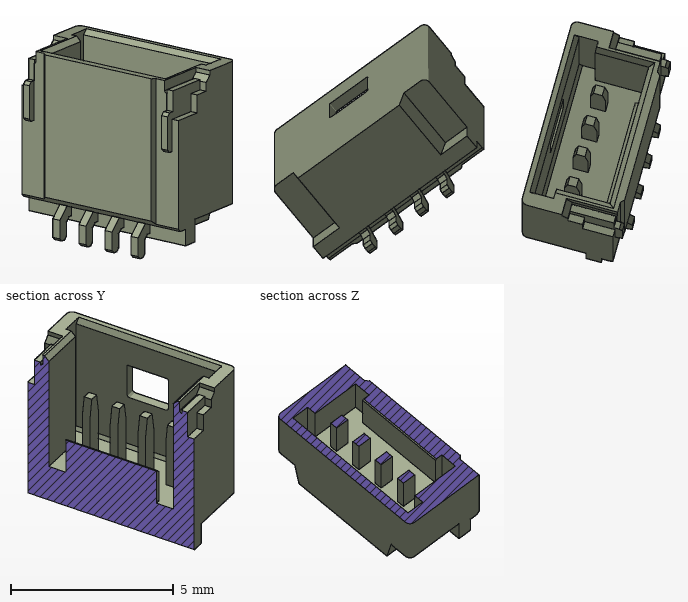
import cadquery as cq
import math


WIDTH = 6.0
HALF_WIDTH = WIDTH / 2
HOUSING_HEIGHT = 5.35
FLANK_DEPTH = 2.95
CONTACT_DEPTH = 3.19
BACK_CORNER_RADIUS = 0.2

PAD_HEIGHT = 0.11
PAD_HALF_WIDTH = 2.14

FOOT_DEPTH = 2.58
LIP_Z = -4.82
LIP_DEPTH = 2.85

RECESS_DEPTH = 2.09
RECESS_Z = -4.615
RECESS_INSET = 0.84
RECESS_TAPER = 0.25

POCKET_FLOOR_Z = -4.08
POCKET_BACK = 0.33
POCKET_FRONT = 2.645
POCKET_STEP = 0.935
POCKET_WIDE_HALF = 2.575
POCKET_NARROW_HALF = 2.23
LEAD_IN = 0.155
FLOOR_BEVEL = 0.11

RIB_HALF_WIDTH = 1.64
RIB_THICKNESS = 0.265
RIB_HEIGHT = 1.2
RIB_BEVEL = 0.1

WINDOW_WIDTH = 1.49
WINDOW_TOP_Z = -1.05
WINDOW_HEIGHT = 1.19
WINDOW_LOWER_RADIUS = 0.1
WINDOW_UPPER_RADIUS = 0.05

PIN_COUNT = 4
PIN_PITCH = WIDTH / 6
PIN_WIDTH = 0.275
POST_BACK = 1.02
POST_THICKNESS = 0.485
POST_TIP_Z = -1.92
POST_TIP_BEVEL = 0.1
POST_TIP_ANGLE = math.radians(80.5)
PIN_TOP_BEND = 2.815
PIN_LOWER_BEND = 2.705
PIN_UNDERSIDE_Z = -5.2
PIN_END_Z = -5.9
PIN_FOOT_THICKNESS = 0.35
CONTACT_BEVEL = 0.1

TAB_OUTER = 2.765
TAB_THICKNESS = 0.23
TAB_INNER = TAB_OUTER - TAB_THICKNESS
TAB_TOP_Z = -0.29
TAB_FRONT = 2.915
TAB_BACK = 1.505
TAB_UPPER_LEDGE_Z = -0.62
TAB_STEP = 1.98
TAB_LOWER_LEDGE_Z = -1.2
TAB_LEG_TOP_Z = -0.96
TAB_LEG_END_Z = -2.245
NOTCH_INNER = 2.465
NOTCH_Z = -0.335
NOTCH_BEVEL = 0.19
SEAT_BEVEL = TAB_INNER - NOTCH_INNER

CLEAR = 0.6
EMBED = 0.18


def box(x_range, y_range, z_range):
    (x0, x1), (y0, y1), (z0, z1) = x_range, y_range, z_range
    return cq.Workplane("XY").box(x1 - x0, y1 - y0, z1 - z0, centered=False).translate((x0, y0, z0))


def side_prism(points, x0, x1):
    """Prism along X from x0 to x1 over a (y, z) outline."""
    return cq.Workplane("YZ", origin=(x0, 0, 0)).polyline(points).close().extrude(x1 - x0)


def end_prism(points, y_front, y_back):
    """Prism along Y from y_front to y_back over an (x, z) outline."""
    return cq.Workplane("XZ", origin=(0, y_back, 0)).polyline(points).close().extrude(y_back - y_front)


def plan_prism(points, z0, z1):
    """Prism along Z from z0 to z1 over an (x, y) outline."""
    return cq.Workplane("XY", origin=(0, 0, z0)).polyline(points).close().extrude(z1 - z0)


def both_ends(body):
    return body.union(body.mirror("YZ"))


def housing_block():
    block = box((-HALF_WIDTH, HALF_WIDTH), (-FLANK_DEPTH, 0), (-HOUSING_HEIGHT, 0))
    block = block.edges("|Z and >Y").fillet(BACK_CORNER_RADIUS)
    pad_front = FLANK_DEPTH + PAD_HEIGHT
    pad_face_half = PAD_HALF_WIDTH - PAD_HEIGHT
    pad = plan_prism(
        [
            (-PAD_HALF_WIDTH, -FLANK_DEPTH),
            (-pad_face_half, -pad_front),
            (pad_face_half, -pad_front),
            (PAD_HALF_WIDTH, -FLANK_DEPTH),
        ],
        -HOUSING_HEIGHT,
        0,
    )
    cut_front = FLANK_DEPTH + CLEAR
    under_lip = side_prism(
        [
            (-FOOT_DEPTH, LIP_Z),
            (-LIP_DEPTH, LIP_Z),
            (-cut_front, LIP_Z + cut_front - LIP_DEPTH),
            (-cut_front, -HOUSING_HEIGHT - CLEAR),
            (-FOOT_DEPTH, -HOUSING_HEIGHT - CLEAR),
        ],
        -HALF_WIDTH,
        HALF_WIDTH,
    )
    return block.union(pad).cut(under_lip)


def rear_recesses():
    inner_top = HALF_WIDTH - RECESS_INSET
    inner_bottom = inner_top - RECESS_TAPER * (HOUSING_HEIGHT + RECESS_Z)
    recess = end_prism(
        [
            (inner_top, RECESS_Z),
            (HALF_WIDTH + CLEAR, RECESS_Z),
            (HALF_WIDTH + CLEAR, -HOUSING_HEIGHT),
            (inner_bottom, -HOUSING_HEIGHT),
        ],
        -RECESS_DEPTH,
        CLEAR,
    )
    return both_ends(recess)


def pocket():
    wide = side_prism(
        [
            (-POCKET_STEP, 0),
            (-POCKET_BACK + LEAD_IN, 0),
            (-POCKET_BACK, -LEAD_IN),
            (-POCKET_BACK, POCKET_FLOOR_Z + FLOOR_BEVEL),
            (-POCKET_BACK - FLOOR_BEVEL, POCKET_FLOOR_Z),
            (-POCKET_STEP, POCKET_FLOOR_Z),
        ],
        -POCKET_WIDE_HALF,
        POCKET_WIDE_HALF,
    )
    mouth_length = POCKET_FRONT - POCKET_STEP + LEAD_IN
    flare = (
        cq.Workplane("XY")
        .center(0, -POCKET_STEP)
        .rect(2 * (POCKET_NARROW_HALF + LEAD_IN), 2 * mouth_length)
        .extrude(-LEAD_IN, taper=45)
    )
    ahead_of_step = box((-HALF_WIDTH, HALF_WIDTH), (-FLANK_DEPTH, -POCKET_STEP), (-LEAD_IN, 0))
    flare = flare.intersect(ahead_of_step)
    narrow = box(
        (-POCKET_NARROW_HALF, POCKET_NARROW_HALF),
        (-POCKET_FRONT, -POCKET_STEP),
        (POCKET_FLOOR_Z, 0),
    )
    return wide.union(narrow).union(flare)


def front_rib():
    top_z = POCKET_FLOOR_Z + RIB_HEIGHT
    rib_back = POCKET_FRONT - RIB_THICKNESS
    return side_prism(
        [
            (-POCKET_FRONT, POCKET_FLOOR_Z),
            (-POCKET_FRONT, top_z),
            (-rib_back - RIB_BEVEL, top_z),
            (-rib_back, top_z - RIB_BEVEL),
            (-rib_back, POCKET_FLOOR_Z),
        ],
        -RIB_HALF_WIDTH,
        RIB_HALF_WIDTH,
    )


def latch_window():
    window = box(
        (-WINDOW_WIDTH / 2, WINDOW_WIDTH / 2),
        (-POCKET_STEP, CLEAR),
        (WINDOW_TOP_Z - WINDOW_HEIGHT, WINDOW_TOP_Z),
    )
    window = window.edges("|Y and <Z").fillet(WINDOW_LOWER_RADIUS)
    return window.edges("|Y and >Z").fillet(WINDOW_UPPER_RADIUS)


def pin(x_center):
    x0 = x_center - PIN_WIDTH / 2
    x1 = x_center + PIN_WIDTH / 2
    post_front = POST_BACK + POST_THICKNESS
    shoulder_z = POST_TIP_Z - POST_TIP_BEVEL * math.tan(POST_TIP_ANGLE)
    post = side_prism(
        [
            (-POST_BACK, POCKET_FLOOR_Z - EMBED),
            (-POST_BACK, shoulder_z),
            (-POST_BACK - POST_TIP_BEVEL, POST_TIP_Z),
            (-post_front + POST_TIP_BEVEL, POST_TIP_Z),
            (-post_front, shoulder_z),
            (-post_front, POCKET_FLOOR_Z - EMBED),
        ],
        x0,
        x1,
    )
    heel_depth = CONTACT_DEPTH - PIN_FOOT_THICKNESS
    foot = side_prism(
        [
            (-FOOT_DEPTH + EMBED, LIP_Z),
            (-PIN_TOP_BEND, LIP_Z),
            (-CONTACT_DEPTH, LIP_Z - CONTACT_DEPTH + PIN_TOP_BEND),
            (-CONTACT_DEPTH, PIN_END_Z + CONTACT_BEVEL),
            (-CONTACT_DEPTH + CONTACT_BEVEL, PIN_END_Z),
            (-heel_depth - CONTACT_BEVEL, PIN_END_Z),
            (-heel_depth, PIN_END_Z + CONTACT_BEVEL),
            (-heel_depth, PIN_UNDERSIDE_Z - heel_depth + PIN_LOWER_BEND),
            (-PIN_LOWER_BEND, PIN_UNDERSIDE_Z),
            (-FOOT_DEPTH + EMBED, PIN_UNDERSIDE_Z),
        ],
        x0,
        x1,
    )
    return post.union(foot)


def tab_notches():
    """Open the housing's upper front corners and step them down around the tabs."""
    front = FLANK_DEPTH + CLEAR
    outside = HALF_WIDTH + CLEAR
    notch = side_prism(
        [
            (-TAB_BACK + NOTCH_BEVEL, 0),
            (-TAB_BACK + NOTCH_BEVEL, NOTCH_Z + NOTCH_BEVEL),
            (-TAB_BACK, NOTCH_Z),
            (-front, NOTCH_Z),
            (-front, 0),
        ],
        NOTCH_INNER,
        outside,
    )
    seat = side_prism(
        [
            (-TAB_BACK, NOTCH_Z),
            (-TAB_BACK, TAB_UPPER_LEDGE_Z),
            (-TAB_STEP, TAB_UPPER_LEDGE_Z),
            (-TAB_STEP, TAB_LOWER_LEDGE_Z),
            (-front, TAB_LOWER_LEDGE_Z),
            (-front, NOTCH_Z),
        ],
        TAB_INNER,
        outside,
    )
    seat_bevel = end_prism(
        [(NOTCH_INNER, NOTCH_Z), (TAB_INNER, NOTCH_Z), (TAB_INNER, NOTCH_Z - SEAT_BEVEL)],
        -front,
        -TAB_BACK,
    )
    return both_ends(notch.union(seat).union(seat_bevel))


def side_tabs():
    tab = side_prism(
        [
            (-TAB_BACK, TAB_TOP_Z),
            (-TAB_FRONT, TAB_TOP_Z),
            (-TAB_FRONT, TAB_LEG_TOP_Z),
            (-CONTACT_DEPTH + CONTACT_BEVEL, TAB_LEG_TOP_Z),
            (-CONTACT_DEPTH, TAB_LEG_TOP_Z - CONTACT_BEVEL),
            (-CONTACT_DEPTH, TAB_LEG_END_Z + CONTACT_BEVEL),
            (-CONTACT_DEPTH + CONTACT_BEVEL, TAB_LEG_END_Z),
            (-FLANK_DEPTH, TAB_LEG_END_Z),
            (-FLANK_DEPTH, TAB_LOWER_LEDGE_Z),
            (-TAB_STEP, TAB_LOWER_LEDGE_Z),
            (-TAB_STEP, TAB_UPPER_LEDGE_Z),
            (-TAB_BACK, TAB_UPPER_LEDGE_Z),
        ],
        TAB_INNER,
        TAB_OUTER,
    )
    return both_ends(tab)


housing = housing_block().cut(rear_recesses()).cut(pocket()).cut(latch_window())
housing = housing.union(front_rib()).cut(tab_notches())

result = housing.union(side_tabs())
for index in range(PIN_COUNT):
    result = result.union(pin((index - (PIN_COUNT - 1) / 2) * PIN_PITCH))